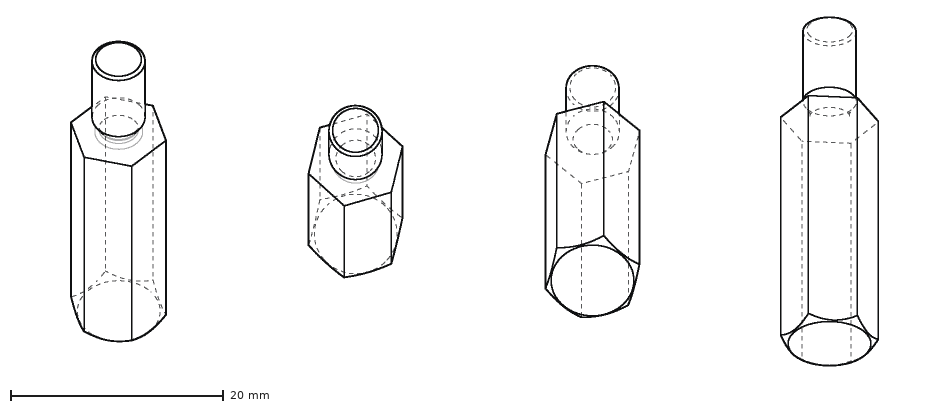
import cadquery as cq
import math

total_length = 35.0
body_length = 25.0
across_flats = 8.0
across_corners = across_flats / math.cos(math.radians(30))

foot_diameter = 7.8
foot_chamfer = (across_corners - foot_diameter) / 2

stud_radius = 5.0 / 2
neck_radius = 3.75 / 2
undercut_length = 2.0
undercut_fillet = 0.4
runout_angle = math.radians(30)
tip_chamfer_width = 0.35
tip_chamfer_height = 0.2


def hexagonal_body():
    """Hexagonal bar with corners on the X axis and a conical foot chamfer."""
    prism = cq.Workplane("XY").polygon(6, across_corners).extrude(body_length)
    envelope = (
        cq.Workplane("XY")
        .circle(across_corners / 2)
        .extrude(body_length)
        .faces("<Z")
        .chamfer(foot_chamfer)
    )
    return prism.intersect(envelope)


def stud():
    """Revolved stud: root fillet, neck, rounded runout cone, shank and tip chamfer."""
    r = undercut_fillet
    undercut_top = body_length + undercut_length

    blend_radius = neck_radius + r * (1 - math.cos(runout_angle))
    cone_height = (stud_radius - blend_radius) / math.tan(runout_angle)
    blend_top = undercut_top - cone_height
    blend_bottom = blend_top - r * math.sin(runout_angle)
    half_angle = runout_angle / 2
    blend_middle = (
        neck_radius + r * (1 - math.cos(half_angle)),
        blend_bottom + r * math.sin(half_angle),
    )
    root_middle = (
        neck_radius + r * (1 - math.sqrt(0.5)),
        body_length + r * (1 - math.sqrt(0.5)),
    )

    profile = (
        cq.Workplane("XZ")
        .moveTo(0, body_length)
        .lineTo(neck_radius + r, body_length)
        .threePointArc(root_middle, (neck_radius, body_length + r))
        .lineTo(neck_radius, blend_bottom)
        .threePointArc(blend_middle, (blend_radius, blend_top))
        .lineTo(stud_radius, undercut_top)
        .lineTo(stud_radius, total_length - tip_chamfer_height)
        .lineTo(stud_radius - tip_chamfer_width, total_length)
        .lineTo(0, total_length)
        .close()
    )
    return profile.revolve(360, (0, 0, 0), (0, 1, 0))


result = hexagonal_body().union(stud())